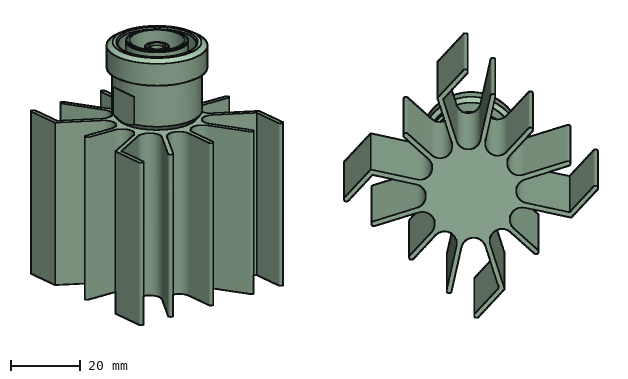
import cadquery as cq
import math

SINK_HEIGHT = 50.0
SINK_HALF_WIDTH = 26.0
FIN_THICKNESS = 1.5
HALF_FIN = FIN_THICKNESS / 2
TIP_CENTRE = SINK_HALF_WIDTH - HALF_FIN
FIN_STEP = 30
BENT_ANGLE = 60
CORNER_FIN_ANGLES = [BENT_ANGLE, 180 - BENT_ANGLE, 180 + BENT_ANGLE, 360 - BENT_ANGLE]
ROOT_RADIUS = 3.5

TOTAL_HEIGHT = 73.65
NECK_RADIUS = 6.85
BODY_RADIUS = 12.95
BODY_BASE_RADIUS = 11.7
BODY_BOTTOM = 50.5
BODY_CHAMFER_TOP = 52.1
HEAD_RADIUS = 14.5
HEAD_TOP_RADIUS = 12.75
HEAD_CONE_BOTTOM = 64.6
HEAD_CONE_TOP = 65.3
HEAD_CHAMFER_BOTTOM = 72.0
HEAD_TOP = 73.05

FLAT_DISTANCE = 12.0
FLAT_TOP = 60.55
FLAT_RUNOUT_SLOPE = 0.6

SOCKET_FLOOR = 67.75
SOCKET_RADIUS = 11.3
SOCKET_CHAMFER = 0.45
TUBE_RADIUS = 9.0
TUBE_BORE_RADIUS = 7.95
TUBE_CHAMFER = 0.3
PIN_TOP = 71.8
PIN_RADIUS = 3.5
PIN_BORE_RADIUS = 2.2
PIN_CHAMFER = 0.3
PIN_LEAD_IN_WIDTH = 0.3
PIN_LEAD_IN_DEPTH = 0.6


def turned(half_section):
    """Solid of revolution about Z from (radius, height) points."""
    return cq.Workplane("XZ").polyline(half_section).close().revolve(360, (0, 0), (0, 1))


def straight_fin(angle):
    """Radial fin whose rounded tip touches the outer limit in X or Y."""
    to_nearest_axis = min(angle % 90, 90 - angle % 90)
    reach = TIP_CENTRE / math.cos(math.radians(to_nearest_axis))
    fin = (
        cq.Workplane("XY")
        .moveTo(0, -HALF_FIN)
        .lineTo(reach, -HALF_FIN)
        .threePointArc((reach + HALF_FIN, 0), (reach, HALF_FIN))
        .lineTo(0, HALF_FIN)
        .close()
        .extrude(SINK_HEIGHT)
    )
    return fin.rotate((0, 0, 0), (0, 0, 1), angle)


def corner_fin():
    """Fin in the +X +Y corner that leaves the axis at BENT_ANGLE and bends to run along +X."""
    slope = math.radians(BENT_ANGLE)
    side_x = HALF_FIN * math.sin(slope)
    side_y = HALF_FIN * math.cos(slope)
    bend_x = TIP_CENTRE / math.tan(slope)
    mitre = HALF_FIN * math.tan(slope / 2)
    outer_y = TIP_CENTRE + HALF_FIN
    inner_y = TIP_CENTRE - HALF_FIN
    return (
        cq.Workplane("XY")
        .moveTo(-side_x, side_y)
        .lineTo(bend_x - mitre, outer_y)
        .lineTo(TIP_CENTRE, outer_y)
        .threePointArc((TIP_CENTRE + HALF_FIN, TIP_CENTRE), (TIP_CENTRE, inner_y))
        .lineTo(bend_x + mitre, inner_y)
        .lineTo(side_x, -side_y)
        .close()
        .extrude(SINK_HEIGHT)
    )


def heat_sink():
    sink = straight_fin(0)
    for angle in range(FIN_STEP, 360, FIN_STEP):
        if angle not in CORNER_FIN_ANGLES:
            sink = sink.union(straight_fin(angle))
    right_pair = corner_fin().union(corner_fin().mirror("XZ"))
    sink = sink.union(right_pair).union(right_pair.mirror("YZ"))

    root_limit = 2 * HALF_FIN / math.sin(math.radians(FIN_STEP / 2))
    roots = cq.selectors.BoxSelector(
        (-root_limit, -root_limit, 0), (root_limit, root_limit, SINK_HEIGHT)
    )
    return sink.edges("|Z").edges(roots).fillet(ROOT_RADIUS)


def shell():
    """Turned connector shell with an open socket, solid down to the heat sink."""
    half_section = [
        (0, SINK_HEIGHT),
        (NECK_RADIUS, SINK_HEIGHT),
        (NECK_RADIUS, BODY_BOTTOM),
        (BODY_BASE_RADIUS, BODY_BOTTOM),
        (BODY_RADIUS, BODY_CHAMFER_TOP),
        (BODY_RADIUS, HEAD_CONE_BOTTOM),
        (HEAD_RADIUS, HEAD_CONE_TOP),
        (HEAD_RADIUS, HEAD_CHAMFER_BOTTOM),
        (HEAD_TOP_RADIUS, HEAD_TOP),
        (SOCKET_RADIUS + SOCKET_CHAMFER, HEAD_TOP),
        (SOCKET_RADIUS, HEAD_TOP - SOCKET_CHAMFER),
        (SOCKET_RADIUS, SOCKET_FLOOR),
        (0, SOCKET_FLOOR),
    ]
    return turned(half_section)


def flat_cutter():
    """Stock removed for the +Y wrench flat, with a sloping upper end."""
    outside = HEAD_RADIUS
    runout_top = FLAT_TOP + FLAT_RUNOUT_SLOPE * (outside - FLAT_DISTANCE)
    section = [
        (FLAT_DISTANCE, SINK_HEIGHT),
        (outside, SINK_HEIGHT),
        (outside, runout_top),
        (FLAT_DISTANCE, FLAT_TOP),
    ]
    return cq.Workplane("YZ").polyline(section).close().extrude(BODY_RADIUS, both=True)


def contact_pin():
    """Hollow pin with a chamfered rim and a tapered lead-in to its bore."""
    half_section = [
        (PIN_BORE_RADIUS, SOCKET_FLOOR),
        (PIN_RADIUS, SOCKET_FLOOR),
        (PIN_RADIUS, PIN_TOP - PIN_CHAMFER),
        (PIN_RADIUS - PIN_CHAMFER, PIN_TOP),
        (PIN_BORE_RADIUS + PIN_LEAD_IN_WIDTH, PIN_TOP),
        (PIN_BORE_RADIUS, PIN_TOP - PIN_LEAD_IN_DEPTH),
    ]
    return turned(half_section)


def contact_tube():
    """Thin sleeve around the pin, chamfered on its outer top edge."""
    half_section = [
        (TUBE_BORE_RADIUS, SOCKET_FLOOR),
        (TUBE_RADIUS, SOCKET_FLOOR),
        (TUBE_RADIUS, TOTAL_HEIGHT - TUBE_CHAMFER),
        (TUBE_RADIUS - TUBE_CHAMFER, TOTAL_HEIGHT),
        (TUBE_BORE_RADIUS, TOTAL_HEIGHT),
    ]
    return turned(half_section)


def connector():
    flat = flat_cutter()
    body = shell().cut(flat).cut(flat.mirror("XZ"))
    return body.union(contact_tube()).union(contact_pin())


result = heat_sink().union(connector())